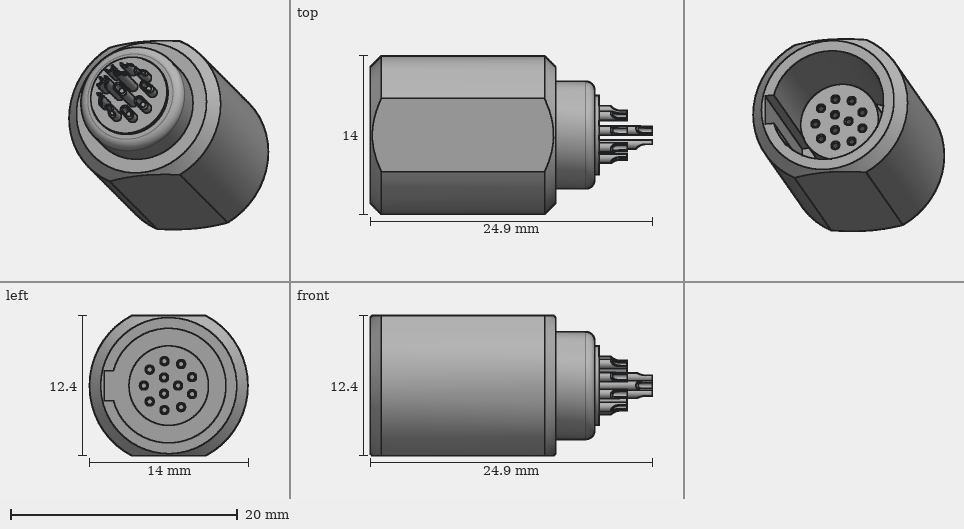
import cadquery as cq
import math

total_length = 24.9
body_length = 16.38
insert_start = 4.6
neck_end = 19.82
insert_end = 20.2
outer_contact_end = 22.65

body_diameter = 14.0
width_across_flats = 12.4
body_chamfer = 1.0
neck_diameter = 9.5
neck_fillet = 0.82

bore_diameter = 10.1
keyway_width = 2.65
keyway_reach = 5.68
bore_depth = body_length - (body_diameter - bore_diameter) / 2

insert_diameter = 7.02

contact_diameter = 0.82
outer_ring_radius = 2.2
outer_ring_count = 9
inner_ring_radius = 0.82
inner_ring_count = 3
inner_ring_start = 60.0
contact_hole_diameter = 0.52
contact_hole_depth = 2.5
contact_countersink = 0.12

cup_bore_diameter = 0.5
cup_bore_depth = 1.27
cup_flat_length = 0.62
cup_runout_radius = 1.05


def cylinder(diameter, start, end):
    """Cylinder on the X axis between two X positions."""
    return cq.Workplane("YZ", origin=(start, 0, 0)).circle(diameter / 2).extrude(end - start)


def make_shell():
    body = cylinder(body_diameter, 0, body_length).faces("<X or >X").chamfer(body_chamfer)
    flats = cq.Workplane("XY").box(2 * total_length, 2 * body_diameter, width_across_flats)
    neck = cylinder(neck_diameter, bore_depth, neck_end).faces(">X").edges().fillet(neck_fillet)
    return body.intersect(flats).union(neck)


def make_socket():
    bore = cylinder(bore_diameter, 0, bore_depth)
    keyway = cq.Workplane("XY").box(
        bore_depth, keyway_reach, keyway_width, centered=(False, False, True)
    )
    return bore.union(keyway)


contact_radius = contact_diameter / 2
runout_length = math.sqrt(cup_runout_radius**2 - (cup_runout_radius - contact_radius) ** 2)
cup_length = cup_flat_length + runout_length


def make_contact(end):
    """Rear part of a contact on the X axis, with its solder cup open towards +Y."""
    pin = cylinder(contact_diameter, neck_end, end)
    flat_start = end - cup_flat_length
    half_angle = math.asin(runout_length / cup_runout_radius) / 2
    runout_middle = (
        flat_start - cup_runout_radius * math.sin(half_angle),
        cup_runout_radius * (1 - math.cos(half_angle)),
    )
    opening = (
        cq.Workplane("XY")
        .moveTo(end, 0)
        .lineTo(flat_start, 0)
        .threePointArc(runout_middle, (end - cup_length, contact_radius))
        .lineTo(end, contact_radius)
        .close()
        .extrude(contact_radius, both=True)
    )
    cup_bore = cylinder(cup_bore_diameter, end - cup_bore_depth, end)
    return pin.cut(opening).cut(cup_bore)


def make_contact_hole():
    """Countersunk hole on the X axis, going in from the insert's front face."""
    mouth_radius = contact_hole_diameter / 2 + contact_countersink
    return (
        cq.Workplane("XY")
        .moveTo(insert_start, 0)
        .lineTo(insert_start, mouth_radius)
        .lineTo(insert_start + contact_countersink, contact_hole_diameter / 2)
        .lineTo(insert_start + contact_hole_depth, contact_hole_diameter / 2)
        .lineTo(insert_start + contact_hole_depth, 0)
        .close()
        .revolve(360, (0, 0, 0), (1, 0, 0))
    )


def around_axis(feature, ring_radius, count, start_angle):
    """Copies of a feature on a ring; angles are measured from +Y towards +Z."""
    shifted = feature.translate((0, ring_radius, 0))
    return [
        shifted.rotate((0, 0, 0), (1, 0, 0), start_angle + i * 360 / count)
        for i in range(count)
    ]


outer_ring = (outer_ring_radius, outer_ring_count, 0)
inner_ring = (inner_ring_radius, inner_ring_count, inner_ring_start)

result = make_shell().cut(make_socket()).union(cylinder(insert_diameter, insert_start, insert_end))

for ring, contact_end in ((outer_ring, outer_contact_end), (inner_ring, total_length)):
    for contact in around_axis(make_contact(contact_end), *ring):
        result = result.union(contact)
    for hole in around_axis(make_contact_hole(), *ring):
        result = result.cut(hole)